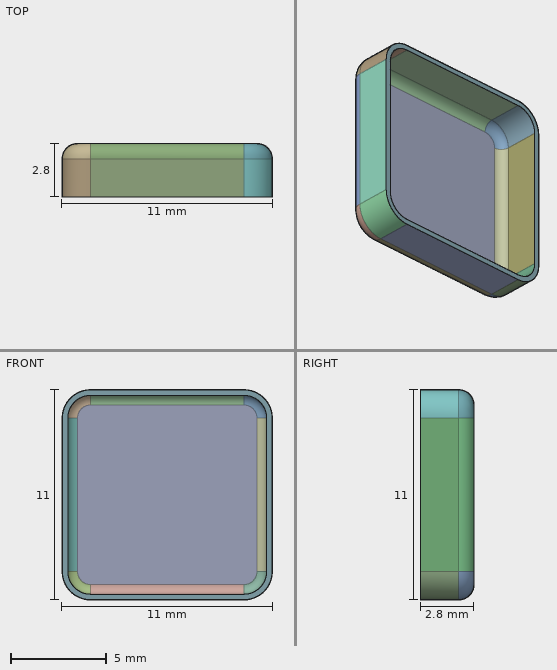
import cadquery as cq

side = 11.0
depth = 2.8
wall = 0.3
corner_radius = 1.5
edge_radius = 0.8


def rounded_block(width, length, corner, edge):
    """Square block from Y = 0 to Y = length, rounded at its corners and +Y rim."""
    block = cq.Workplane("XZ").rect(width, width).extrude(-length)
    return block.edges("|Y").fillet(corner).faces(">Y").edges().fillet(edge)


outer = rounded_block(side, depth, corner_radius, edge_radius)
cavity = rounded_block(
    side - 2 * wall,
    depth - wall,
    corner_radius - wall,
    edge_radius - wall,
)

result = outer.cut(cavity)